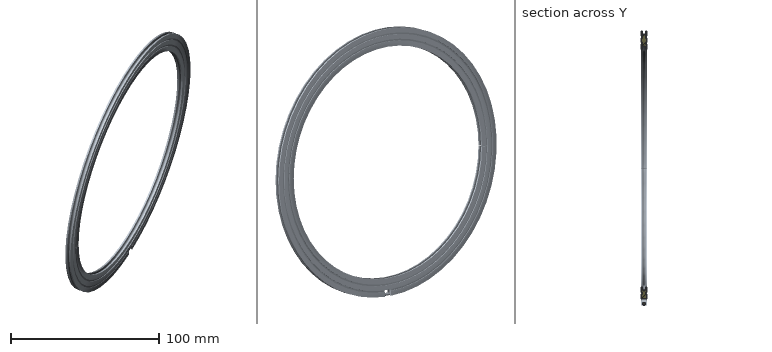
import cadquery as cq

width = 3.9
outer_radius = 92.5
bore_radius = 80.0

middle_band_radius = 86.4
middle_band_width = 3.3
band_inner_radius = middle_band_radius - middle_band_width / 2
band_outer_radius = middle_band_radius + middle_band_width / 2
face_groove_width = 1.1
face_groove_depth = 0.5

wire_groove_width = 1.8
wire_groove_straight_depth = 1.3

notch_width = 5.0
wire_diameter = 2.0
wire_ring_radius = 91.35
wire_half_length = 9.0

slit_width = 0.5


def revolve_about_x(profile):
    """Revolve an XY profile (X axial, Y radial) around the X axis."""
    return profile.revolve(360, (0, 0, 0), (1, 0, 0))


def ring_body():
    """Ring section with round-bottomed rim and bore grooves, as one revolved outline."""
    side = width / 2
    groove_side = wire_groove_width / 2
    rim_arc_start = outer_radius - wire_groove_straight_depth
    bore_arc_start = bore_radius + wire_groove_straight_depth
    profile = (
        cq.Workplane("XY")
        .moveTo(side, bore_radius)
        .lineTo(side, outer_radius)
        .lineTo(groove_side, outer_radius)
        .lineTo(groove_side, rim_arc_start)
        .threePointArc((0, rim_arc_start - groove_side), (-groove_side, rim_arc_start))
        .lineTo(-groove_side, outer_radius)
        .lineTo(-side, outer_radius)
        .lineTo(-side, bore_radius)
        .lineTo(-groove_side, bore_radius)
        .lineTo(-groove_side, bore_arc_start)
        .threePointArc((0, bore_arc_start + groove_side), (groove_side, bore_arc_start))
        .lineTo(groove_side, bore_radius)
        .close()
    )
    return revolve_about_x(profile)


def face_groove(inner_radius, face_sign):
    """Circular groove for the -X (face_sign -1) or +X (face_sign +1) side face."""
    face = face_sign * width / 2
    floor = face - face_sign * face_groove_depth
    groove_outer_radius = inner_radius + face_groove_width
    profile = cq.Workplane("XY").polyline(
        [(face, inner_radius), (floor, inner_radius), (floor, groove_outer_radius), (face, groove_outer_radius)]
    )
    return revolve_about_x(profile.close())


def notch():
    """Block that opens the outer band down to the middle band."""
    depth = outer_radius - band_outer_radius
    return cq.Workplane("XY").box(width, notch_width, 2 * depth).translate((0, 0, -outer_radius))


def slit():
    """Thin block that splits the inner band up to the middle band."""
    depth = band_inner_radius - bore_radius
    return cq.Workplane("XY").box(width, 2 * depth, slit_width).translate((0, -bore_radius, 0))


def bridge_wire():
    """Arc of round wire lying in the rim groove across the notch."""
    wire_ring = revolve_about_x(cq.Workplane("XY").moveTo(0, wire_ring_radius).circle(wire_diameter / 2))
    kept_zone = cq.Workplane("XY").box(width, 2 * wire_half_length, outer_radius)
    return wire_ring.intersect(kept_zone.translate((0, 0, -outer_radius)))


result = ring_body()
for sign in (-1, 1):
    for groove_radius in (band_inner_radius - face_groove_width, band_outer_radius):
        result = result.cut(face_groove(groove_radius, sign))
result = result.cut(notch()).cut(slit()).union(bridge_wire())